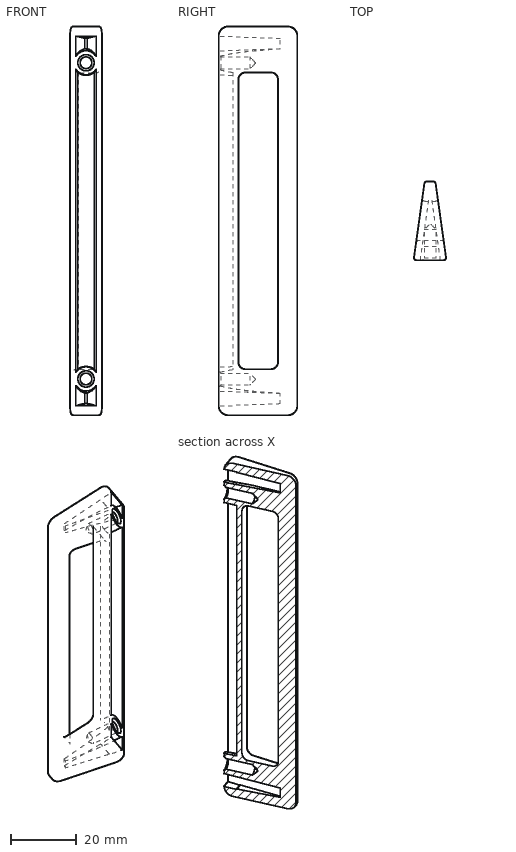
import cadquery as cq
import math

height = 118.1
depth = 24.0
front_width = 10.0
back_width = 3.3
corner_radius = 3.0
edge_radius = 0.8
front_y = -depth / 2
back_y = depth / 2
side_slope = (front_width - back_width) / 2 / depth

window_front_y = -5.9
window_back_y = 6.0
window_height = 90.0
window_corner_radius = 2.0

pocket_width = 6.1
pocket_height = 112.2
channel_depth = 4.3
end_pocket_depth = 18.7
draft_angle = 2.0

screw_spacing = 96.0
boss_radius = 3.7
hole_mouth_radius = 2.5
hole_radius = 1.8
countersink_depth = hole_mouth_radius - hole_radius
hole_depth = 9.5
point_angle = 90.0
screw_positions = (-screw_spacing / 2, screw_spacing / 2)


def taper_prism(width, start_y, length, z_span):
    """Prism running back from start_y, narrowing in X at the slope of the sides."""
    half_front = width / 2
    half_back = half_front - side_slope * length
    end_y = start_y + length
    outline = [(-half_front, start_y), (half_front, start_y), (half_back, end_y), (-half_back, end_y)]
    return cq.Workplane("XY").polyline(outline).close().extrude(z_span / 2, both=True)


def rounded_block(low_y, high_y, z_span, radius):
    """Block through the full thickness with its four corners rounded in the YZ plane."""
    block = cq.Workplane("XY").box(2 * front_width, high_y - low_y, z_span)
    return block.edges("|X").fillet(radius).translate((0, (low_y + high_y) / 2, 0))


def make_body():
    """Tapered plate with its window, both rounded along the edges of the side faces."""
    body = rounded_block(front_y, back_y, height, corner_radius)
    body = body.intersect(taper_prism(front_width, front_y, depth, height))
    body = body.cut(rounded_block(window_front_y, window_back_y, window_height, window_corner_radius))
    return body.faces("<X or >X").edges().fillet(edge_radius)


def make_boss(z):
    """Boss flush with the front face, widening with the draft to the end pocket floor."""
    base_radius = boss_radius + end_pocket_depth * math.tan(math.radians(draft_angle))
    return cq.Workplane(
        cq.Solid.makeCone(
            boss_radius, base_radius, end_pocket_depth, cq.Vector(0, front_y, z), cq.Vector(0, 1, 0)
        )
    )


def make_hollow():
    """Shallow channel along the whole front plus a deep pocket beyond each screw."""
    end_draft = end_pocket_depth * math.tan(math.radians(draft_angle))
    half_pocket = pocket_height / 2
    end_y = front_y + end_pocket_depth
    hollow = taper_prism(pocket_width, front_y, channel_depth, pocket_height)
    deep = taper_prism(pocket_width, front_y, end_pocket_depth, pocket_height)
    for side in (-1, 1):
        inner_z = side * screw_spacing / 2
        end_profile = [
            (front_y, inner_z),
            (front_y, side * half_pocket),
            (end_y, side * (half_pocket - end_draft)),
            (end_y, inner_z),
        ]
        end_zone = cq.Workplane("YZ").polyline(end_profile).close().extrude(pocket_width, both=True)
        hollow = hollow.union(deep.intersect(end_zone))
    for z in screw_positions:
        hollow = hollow.cut(make_boss(z))
    return hollow


def make_screw_hole(z):
    """Blind countersunk hole with a drill point."""
    point_depth = hole_radius / math.tan(math.radians(point_angle / 2))
    profile = [
        (0, front_y),
        (hole_mouth_radius, front_y),
        (hole_radius, front_y + countersink_depth),
        (hole_radius, front_y + hole_depth),
        (0, front_y + hole_depth + point_depth),
    ]
    hole = cq.Workplane("XY").polyline(profile).close().revolve(360, (0, 0, 0), (0, 1, 0))
    return hole.translate((0, 0, z))


result = make_body().cut(make_hollow())
for screw_z in screw_positions:
    result = result.cut(make_screw_hole(screw_z))